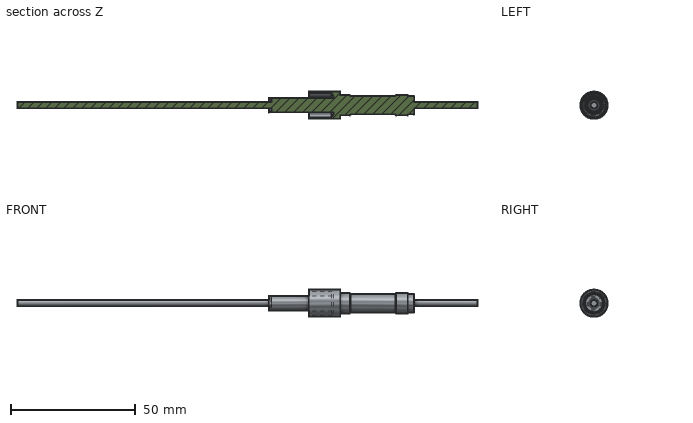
import cadquery as cq

total_length = 184.15
wire_radius = 1.3

sleeve_start = 100.6
collar_start = 116.6
collar_end = 129.2
front_ring_end = 133.4
rear_ring_start = 151.0
rear_ring_end = 156.2
body_end = 158.8

sleeve_radius = 2.95
collar_radius = 5.51
ring_radius = 4.15
barrel_radius = 3.75

ring_chamfer = 0.5
end_chamfer = 0.2
sleeve_bore_radius = 2.5
sleeve_bore_depth = 1.0
collar_bore_radius = 4.8
collar_floor_radius = 3.6
collar_bore_depth = 9.0
collar_cone_depth = 0.8

tip_x = -total_length / 2


def rod(start, end, radius):
    """Solid cylinder on the X axis between two stations."""
    return cq.Workplane("YZ", origin=(tip_x + start, 0, 0)).circle(radius).extrude(end - start)


def wire():
    return rod(0, total_length, wire_radius)


def sleeve():
    """Plain tube end with an annular recess around the wire."""
    tube = rod(sleeve_start, collar_end, sleeve_radius)
    return tube.cut(rod(sleeve_start, sleeve_start + sleeve_bore_depth, sleeve_bore_radius))


def collar():
    """Large collar with a blind bore and conical floor, open towards -X around the sleeve."""
    shell = rod(collar_start, collar_end, collar_radius)
    mouth_x = tip_x + collar_start
    cone_x = mouth_x + collar_bore_depth
    floor_x = cone_x + collar_cone_depth
    cavity = (
        cq.Workplane("XY")
        .moveTo(mouth_x, 0)
        .lineTo(mouth_x, collar_bore_radius)
        .lineTo(cone_x, collar_bore_radius)
        .lineTo(floor_x, collar_floor_radius)
        .lineTo(floor_x, 0)
        .close()
        .revolve(360, (0, 0, 0), (1, 0, 0))
    )
    return shell.cut(cavity)


def barrel():
    """Barrel with a ring at each end."""
    core = rod(collar_end, body_end, barrel_radius).faces(">X").chamfer(end_chamfer)
    front_ring = rod(collar_end, front_ring_end, ring_radius).faces(">X").chamfer(ring_chamfer)
    rear_ring = rod(rear_ring_start, rear_ring_end, ring_radius).faces("<X").chamfer(ring_chamfer)
    return core.union(front_ring).union(rear_ring)


result = barrel().union(collar()).union(sleeve()).union(wire())